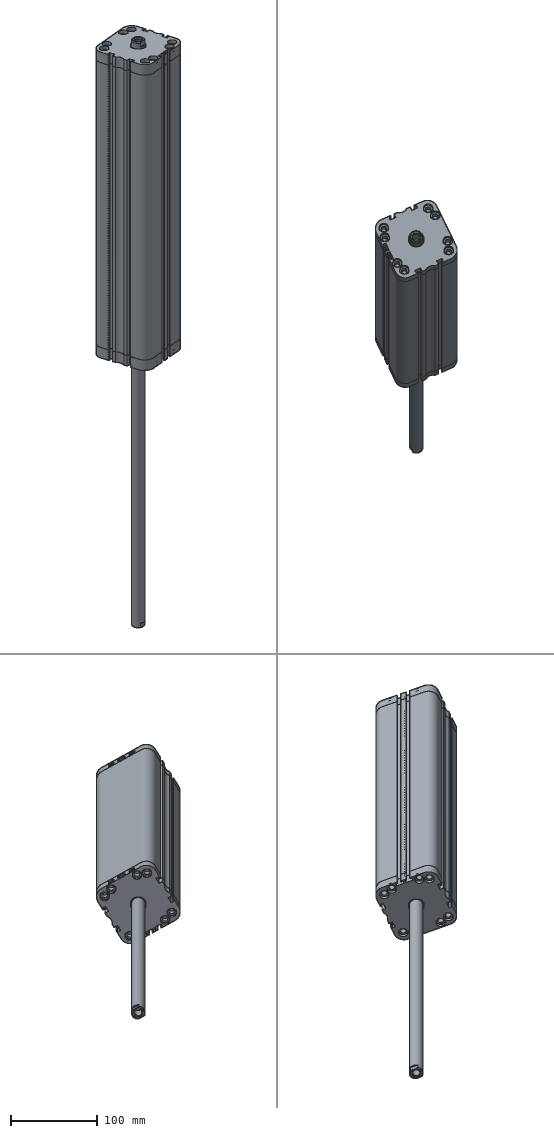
import cadquery as cq
import math

ROD_LENGTH = 765.0
LOWER_STICK_OUT = 358.0
UPPER_STICK_OUT = 8.0
CAP_HEIGHT = 14.0
BODY_TOP = ROD_LENGTH - UPPER_STICK_OUT
UPPER_CAP_BASE = BODY_TOP - CAP_HEIGHT
BARREL_BASE = LOWER_STICK_OUT + CAP_HEIGHT

BODY_WIDTH = 77.0
HALF_WIDTH = BODY_WIDTH / 2
CORNER_RADIUS = 12.0

SLOT_MOUTH = 4.5
SLOT_UNDERCUT = 2.0
SLOT_LIP = 1.5
SLOT_DEPTH = 4.5
SLOT_SPACING_FRONT_BACK = 25.0
SLOT_SPACING_SIDE = 11.5

FLUTE_DIAMETER = 18.0
FLUTE_HALF_CHORD = 5.7

ROD_DIAMETER = 16.0
ROD_CHAMFER = 1.15
FLATS_WIDTH = 13.0
FLATS_LENGTH = 6.0
ROD_BORE_DIAMETER = 8.5
ROD_COUNTERBORE_DIAMETER = 10.0
ROD_BORE_DEPTH = 20.0
ROD_COUNTERBORE_DEPTH = 2.0
DRILL_TIP_ANGLE = 118

WIPER_RECESS_DIAMETER = 18.0
WIPER_RECESS_DEPTH = 1.5

HOLE_DIAMETER = 6.65
COUNTERBORE_DIAMETER = 11.0
COUNTERBORE_DEPTH = 4.5
MOUNTING_HOLE_SPACING = 56.5
TIE_HOLE_SPACING_X = 64.0
TIE_HOLE_SPACING_Y = 34.5

PORT_DIAMETER = 8.5
PORT_COUNTERBORE_DIAMETER = 10.0
PORT_COUNTERBORE_DEPTH = 1.0
POCKET_WIDTH = 7.0
POCKET_HEIGHT = 4.5
POCKET_DEPTH = 1.5
POCKET_CORE_WIDTH = 4.0
POCKET_CORE_HEIGHT = 1.5
POCKET_CORE_DEPTH = 2.0
POCKET_SPACING = 27.5


def cylinder(diameter, height, base):
    return cq.Workplane("XY").workplane(offset=base).circle(diameter / 2).extrude(height)


def slot_cutter(height, spacing, side, inner_undercut):
    """Slot in the +Y face, on the given side of its middle; spacing is between the two mouths.

    The floor always reaches outward under the lip, and inward by the inner undercut.
    """
    mouth_centre = side * spacing / 2
    floor_width = inner_undercut + SLOT_MOUTH + SLOT_UNDERCUT
    floor_centre = mouth_centre + side * (SLOT_UNDERCUT - inner_undercut) / 2
    floor_height = SLOT_DEPTH - SLOT_LIP
    mouth = (
        cq.Workplane("XY")
        .center(mouth_centre, HALF_WIDTH - SLOT_DEPTH / 2)
        .rect(SLOT_MOUTH, SLOT_DEPTH)
        .extrude(height)
    )
    floor = (
        cq.Workplane("XY")
        .center(floor_centre, HALF_WIDTH - SLOT_LIP - floor_height / 2)
        .rect(floor_width, floor_height)
        .extrude(height)
    )
    return mouth.union(floor)


def flute_cutter(height):
    """Round groove in the +Y face."""
    radius = FLUTE_DIAMETER / 2
    rise = math.sqrt(radius**2 - FLUTE_HALF_CHORD**2)
    return cq.Workplane("XY").center(0, HALF_WIDTH + rise).circle(radius).extrude(height)


def profile_block(height, base):
    """Length of the grooved square profile with a passage for the rod."""
    block = (
        cq.Workplane("XY")
        .rect(BODY_WIDTH, BODY_WIDTH)
        .extrude(height)
        .edges("|Z")
        .fillet(CORNER_RADIUS)
    )
    for face_angle in (0, 180):
        block = block.cut(flute_cutter(height).rotate((0, 0, 0), (0, 0, 1), face_angle))
    for face_angle, spacing, inner_undercut in (
        (0, SLOT_SPACING_FRONT_BACK, 0),
        (180, SLOT_SPACING_FRONT_BACK, 0),
        (-90, SLOT_SPACING_SIDE, SLOT_UNDERCUT),
    ):
        for side in (-1, 1):
            slot = slot_cutter(height, spacing, side, inner_undercut)
            block = block.cut(slot.rotate((0, 0, 0), (0, 0, 1), face_angle))
    block = block.cut(cylinder(ROD_DIAMETER, height, 0))
    return block.translate((0, 0, base))


def make_cap():
    """End cap with its outer face up, standing on Z = 0."""
    cap = profile_block(CAP_HEIGHT, 0)
    hole_places = [
        (side_x * spacing_x / 2, side_y * spacing_y / 2)
        for spacing_x, spacing_y in (
            (MOUNTING_HOLE_SPACING, MOUNTING_HOLE_SPACING),
            (TIE_HOLE_SPACING_X, TIE_HOLE_SPACING_Y),
        )
        for side_x in (-1, 1)
        for side_y in (-1, 1)
    ]
    cap = (
        cap.faces(">Z")
        .workplane(origin=(0, 0, CAP_HEIGHT))
        .pushPoints(hole_places)
        .cboreHole(HOLE_DIAMETER, COUNTERBORE_DIAMETER, COUNTERBORE_DEPTH)
    )
    cap = cap.cut(
        cylinder(WIPER_RECESS_DIAMETER, WIPER_RECESS_DEPTH, CAP_HEIGHT - WIPER_RECESS_DEPTH)
    )
    port_face = cq.Workplane("YZ", origin=(-HALF_WIDTH, 0, CAP_HEIGHT / 2))
    cap = cap.cut(port_face.circle(PORT_DIAMETER / 2).extrude(HALF_WIDTH))
    cap = cap.cut(port_face.circle(PORT_COUNTERBORE_DIAMETER / 2).extrude(PORT_COUNTERBORE_DEPTH))
    for width, height, depth in (
        (POCKET_WIDTH, POCKET_HEIGHT, POCKET_DEPTH),
        (POCKET_CORE_WIDTH, POCKET_CORE_HEIGHT, POCKET_CORE_DEPTH),
    ):
        pockets = port_face.pushPoints([(-POCKET_SPACING / 2, 0), (POCKET_SPACING / 2, 0)])
        cap = cap.cut(pockets.rect(width, height).extrude(depth))
    return cap


def rod_bore_cutter():
    """Stepped blind bore with a conical tip, entering the rod end at Z = 0."""
    radius = ROD_BORE_DIAMETER / 2
    entry_radius = ROD_COUNTERBORE_DIAMETER / 2
    tip_height = radius / math.tan(math.radians(DRILL_TIP_ANGLE / 2))
    half_section = [
        (0, 0),
        (entry_radius, 0),
        (entry_radius, ROD_COUNTERBORE_DEPTH),
        (radius, ROD_COUNTERBORE_DEPTH),
        (radius, ROD_BORE_DEPTH),
        (0, ROD_BORE_DEPTH + tip_height),
    ]
    return cq.Workplane("XZ").polyline(half_section).close().revolve(360, (0, 0), (0, 1))


def flats_cutters():
    """The two blocks that leave the wrench flats on the rod end at Z = 0."""
    block = cq.Workplane("XY").box(
        ROD_DIAMETER, ROD_DIAMETER, FLATS_LENGTH, centered=(False, True, False)
    )
    right_block = block.translate((FLATS_WIDTH / 2, 0, 0))
    return right_block, right_block.mirror("YZ")


def make_rod():
    """Through rod with wrench flats and a stepped bore at each end."""
    rod = cylinder(ROD_DIAMETER, ROD_LENGTH, 0).faces("<Z or >Z").chamfer(ROD_CHAMFER)
    for cutter in (*flats_cutters(), rod_bore_cutter()):
        rod = rod.cut(cutter)
        rod = rod.cut(cutter.mirror("XY").translate((0, 0, ROD_LENGTH)))
    return rod


barrel = profile_block(UPPER_CAP_BASE - BARREL_BASE, BARREL_BASE)
upper_cap = make_cap().translate((0, 0, UPPER_CAP_BASE))
lower_cap = make_cap().mirror("XY").translate((0, 0, BARREL_BASE))
rod = make_rod()

result = cq.Compound.makeCompound([barrel.val(), upper_cap.val(), lower_cap.val(), rod.val()])